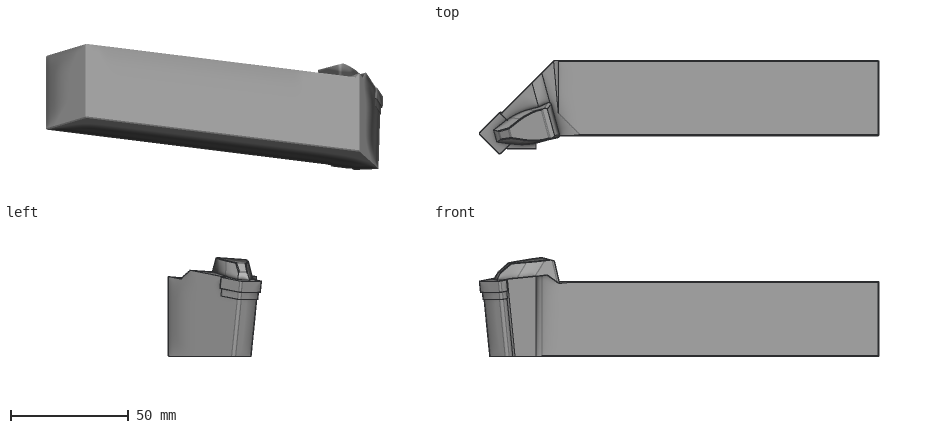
import cadquery as cq
import math

TOOL_LENGTH = 169.67
SHANK = 32.0
NOSE_OVERHANG = 7.67
SHANK_CHAMFER = 0.5

INSERT_SIZE = 12.7
INSERT_THICKNESS = 4.76
NOSE_RADIUS = 0.8
RAKE = 8.0
HALF_INSERT = INSERT_SIZE / 2
SIN_RAKE = math.sin(math.radians(RAKE))
COS_RAKE = math.cos(math.radians(RAKE))
SQRT2 = math.sqrt(2)

NOSE_REACH = (
    (HALF_INSERT - NOSE_RADIUS - NOSE_RADIUS * COS_RAKE) / SQRT2
    + NOSE_RADIUS * math.sqrt((1 + COS_RAKE**2) / 2)
)
EDGE_MIDDLE = (NOSE_REACH, NOSE_REACH - NOSE_OVERHANG, SHANK)

SEAT = cq.Plane(
    origin=EDGE_MIDDLE,
    xDir=(COS_RAKE / SQRT2, COS_RAKE / SQRT2, SIN_RAKE),
    normal=(-SIN_RAKE / SQRT2, -SIN_RAKE / SQRT2, COS_RAKE),
)

CLAMP_TURN = -30.0
CLAMP_FRAME = SEAT.rotated((0, 0, CLAMP_TURN))

SHIM_THICKNESS = 3.18
SHIM_SETBACK = 0.5
SHIM_RADIUS = 1.0
SEAT_DEPTH = INSERT_THICKNESS + SHIM_THICKNESS
BLOCK_SETBACK = 0.75
BLOCK_RADIUS = 1.2
BLOCK_LENGTH = 20.0
WALL_START = 11.0
CORE_START_X = 12.0
HALF_BLOCK = HALF_INSERT - BLOCK_SETBACK
HEAD_DEPTH = 50.0

RIB_FACE_Y = -5.5
RIB_START_X = 12.0
RIB_END_X = 24.1
NECK_LENGTH = 2.45
NECK_DEPTH = 0.6

HEAD_TOP = 0.3
RIDGE = 24.6
RELIEF_FOOT = 29.2
RELIEF_FLOOR = -4.19
SHANK_TOP_START = 33.5

CLAMP_HEIGHT = 6.38
CLAMP_CENTER = 2.65
CLAMP_BASE = [(0.4, 3.65), (7.7, 6.75), (15.4, 7.95), (29.6, 7.85)]
CLAMP_TOP = [(8.0, 1.1), (16.7, 4.8), (24.2, 6.5), (28.6, 6.4)]
SHOULDER_BULGE = 0.25
CLAMP_REAR_RADIUS = 1.2
CLAMP_EDGE_CHAMFER = 0.3
NOSE_SLOPE_LOW = (5.0, 2.7)
NOSE_SLOPE_HIGH = 10.5
REAR_SLOPE_START = 26.4
REAR_SLOPE_DROP = 1.0


def rounded_prism(start, end, half_width, top, bottom, radius):
    """Block standing in the seat frame, with its upright corners rounded."""
    return (
        cq.Workplane(SEAT)
        .workplane(offset=top)
        .center((start + end) / 2, 0)
        .rect(end - start, 2 * half_width)
        .extrude(bottom - top)
        .edges(cq.selectors.ParallelDirSelector(SEAT.zDir))
        .fillet(radius)
    )


def make_insert():
    return rounded_prism(0, INSERT_SIZE, HALF_INSERT, 0, -INSERT_THICKNESS, NOSE_RADIUS)


def make_shank():
    length = TOOL_LENGTH - SHANK_TOP_START
    return (
        cq.Workplane("XY")
        .box(length, SHANK, SHANK, centered=False)
        .translate((SHANK_TOP_START, 0, 0))
        .edges("|X or >X")
        .chamfer(SHANK_CHAMFER)
    )


def make_head_core():
    """Upright part of the head, with the 45 degree flank at its back and the neck at its front."""
    flank = EDGE_MIDDLE[1] - EDGE_MIDDLE[0] + HALF_BLOCK * SQRT2
    return (
        cq.Workplane("XY")
        .polyline([
            (CORE_START_X, CORE_START_X + flank),
            (SHANK - flank, SHANK),
            (SHANK_TOP_START, SHANK),
            (SHANK_TOP_START, 0),
            (RIB_END_X + NECK_LENGTH, 0),
            (RIB_END_X, -NECK_DEPTH),
        ])
        .close()
        .extrude(HEAD_DEPTH)
        .edges("|X and <Z")
        .chamfer(SHANK_CHAMFER)
    )


def make_seat_block():
    """Column under the shim, the shim and the wall behind the insert."""
    block = rounded_prism(BLOCK_SETBACK, BLOCK_LENGTH, HALF_BLOCK, -SEAT_DEPTH, -HEAD_DEPTH, BLOCK_RADIUS)
    shim = rounded_prism(
        SHIM_SETBACK, INSERT_SIZE - SHIM_SETBACK, HALF_INSERT - SHIM_SETBACK,
        -INSERT_THICKNESS, -SEAT_DEPTH, SHIM_RADIUS,
    )
    wall = (
        cq.Workplane(SEAT)
        .workplane(offset=HEAD_TOP)
        .center((WALL_START + BLOCK_LENGTH) / 2, 0)
        .rect(BLOCK_LENGTH - WALL_START, 2 * HALF_BLOCK)
        .extrude(-SEAT_DEPTH - HEAD_TOP)
    )
    return block.union(shim).union(wall)


def make_rib():
    corner = SEAT.toLocalCoords(cq.Vector(RIB_START_X, RIB_FACE_Y, SHANK))
    run = SHANK / 2
    rib = (
        cq.Workplane(SEAT)
        .workplane(offset=HEAD_TOP)
        .polyline([
            (corner.x, 0),
            (corner.x, corner.y),
            (corner.x + run, corner.y - run * COS_RAKE),
            (corner.x + run, 0),
        ])
        .close()
        .extrude(-HEAD_DEPTH)
    )
    behind_rib = cq.Workplane("XY").box(SHANK, 2 * SHANK, 4 * SHANK)
    return rib.cut(behind_rib.translate((RIB_END_X + SHANK / 2, 0, 0)))


def clamp_side_profile(points):
    """Profile along the clamp and over the insert top, extruded to both sides."""
    side = cq.Plane(CLAMP_FRAME.origin, CLAMP_FRAME.xDir, -CLAMP_FRAME.yDir)
    return cq.Workplane(side).polyline(points).close().extrude(2 * SHANK, both=True)


def make_head_envelope():
    """Space under the seat level, the ridge slope, the relief floor and the step to the shank top."""
    seat_side = clamp_side_profile([
        (-SHANK, -3 * SHANK),
        (-SHANK, HEAD_TOP),
        (RIDGE, HEAD_TOP),
        (RELIEF_FOOT, RELIEF_FLOOR),
        (TOOL_LENGTH, RELIEF_FLOOR),
        (TOOL_LENGTH, -3 * SHANK),
    ])
    shank_side = (
        cq.Workplane("XZ")
        .polyline([
            (0, 0),
            (0, SHANK + SHANK_TOP_START),
            (SHANK_TOP_START, SHANK),
            (TOOL_LENGTH, SHANK),
            (TOOL_LENGTH, 0),
        ])
        .close()
        .extrude(2 * SHANK, both=True)
    )
    return seat_side.intersect(shank_side)


def clamp_outline(workplane, outline):
    tip, taper_end, shoulder_end = outline[:3]
    arc_inset = CLAMP_REAR_RADIUS * (1 - 1 / SQRT2)
    middle = (
        (taper_end[0] + shoulder_end[0]) / 2,
        (taper_end[1] + shoulder_end[1]) / 2 + SHOULDER_BULGE,
    )

    corner_place, corner_half_width = outline[-1]
    rear_side = (corner_place - CLAMP_REAR_RADIUS, corner_half_width)
    rear = (corner_place, corner_half_width - CLAMP_REAR_RADIUS)
    rear_corner = (corner_place - arc_inset, corner_half_width - arc_inset)

    def left(point):
        return (point[0], CLAMP_CENTER + point[1])

    def right(point):
        return (point[0], CLAMP_CENTER - point[1])

    return (
        workplane
        .moveTo(*left(tip))
        .lineTo(*left(taper_end))
        .threePointArc(left(middle), left(shoulder_end))
        .lineTo(*left(rear_side))
        .threePointArc(left(rear_corner), left(rear))
        .lineTo(*right(rear))
        .threePointArc(right(rear_corner), right(rear_side))
        .lineTo(*right(shoulder_end))
        .threePointArc(right(middle), right(taper_end))
        .lineTo(*right(tip))
        .close()
    )


def make_clamp():
    base = clamp_outline(cq.Workplane(CLAMP_FRAME).workplane(offset=RELIEF_FLOOR), CLAMP_BASE)
    top = base.workplane(offset=CLAMP_HEIGHT - RELIEF_FLOOR)
    body = clamp_outline(top, CLAMP_TOP).loft(ruled=True)
    side = clamp_side_profile([
        (RELIEF_FOOT, RELIEF_FLOOR),
        (RIDGE, 0),
        (0, 0),
        NOSE_SLOPE_LOW,
        (NOSE_SLOPE_HIGH, CLAMP_HEIGHT),
        (REAR_SLOPE_START, CLAMP_HEIGHT),
        (CLAMP_TOP[-1][0], CLAMP_HEIGHT - REAR_SLOPE_DROP),
        (CLAMP_BASE[-1][0], RELIEF_FLOOR),
    ])
    clamp = body.intersect(side)
    nose_middle = (
        (NOSE_SLOPE_LOW[0] + NOSE_SLOPE_HIGH) / 2,
        CLAMP_CENTER,
        (NOSE_SLOPE_LOW[1] + CLAMP_HEIGHT) / 2,
    )
    nose_point = CLAMP_FRAME.toWorldCoords(nose_middle).toTuple()
    top_face = clamp.faces(cq.selectors.DirectionMinMaxSelector(SEAT.zDir))
    nose_face = clamp.faces(cq.selectors.NearestToPointSelector(nose_point))
    rim = top_face.edges().add(nose_face.edges())
    return clamp.newObject(rim.vals()).chamfer(CLAMP_EDGE_CHAMFER)


insert = make_insert()
head = make_head_core().union(make_seat_block()).union(make_rib())
holder = make_shank().union(head).intersect(make_head_envelope())
pocket = rounded_prism(0, INSERT_SIZE, HALF_INSERT, HEAD_TOP, -INSERT_THICKNESS, NOSE_RADIUS)
holder = holder.cut(pocket).union(make_clamp())

result = cq.Compound.makeCompound([holder.val(), insert.val()])